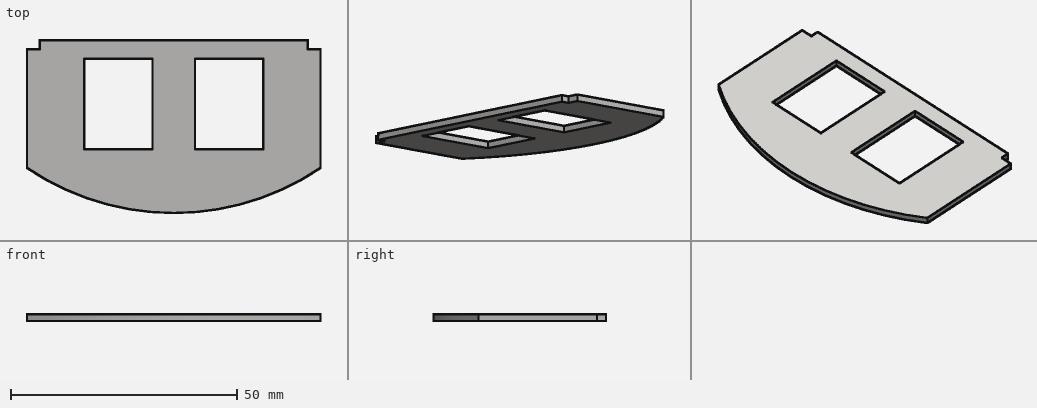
import cadquery as cq

plate_width = 65.0
plate_thickness = 1.5
side_length = 26.25
bow_depth = 10.0
tab_width = 59.3
tab_height = 2.0

window_width = 15.0
window_length = 20.0
window_spacing = 24.5

shoulder_y = side_length
tab_y = shoulder_y + tab_height
window_y = tab_y / 2


def make_plate():
    """Plate with a raised tab on the +Y edge and a bowed -Y edge."""
    half_width = plate_width / 2
    half_tab = tab_width / 2
    return (
        cq.Workplane("XY")
        .moveTo(half_width, 0)
        .lineTo(half_width, shoulder_y)
        .lineTo(half_tab, shoulder_y)
        .lineTo(half_tab, tab_y)
        .lineTo(-half_tab, tab_y)
        .lineTo(-half_tab, shoulder_y)
        .lineTo(-half_width, shoulder_y)
        .lineTo(-half_width, 0)
        .threePointArc((0, -bow_depth), (half_width, 0))
        .close()
        .extrude(plate_thickness)
    )


def cut_windows(plate):
    """Cut the two rectangular through windows, placed symmetrically about X = 0."""
    centres = [(side * window_spacing / 2, window_y) for side in (-1, 1)]
    return (
        plate.faces(">Z")
        .workplane(origin=(0, 0, plate_thickness))
        .pushPoints(centres)
        .rect(window_width, window_length)
        .cutThruAll()
    )


result = cut_windows(make_plate())